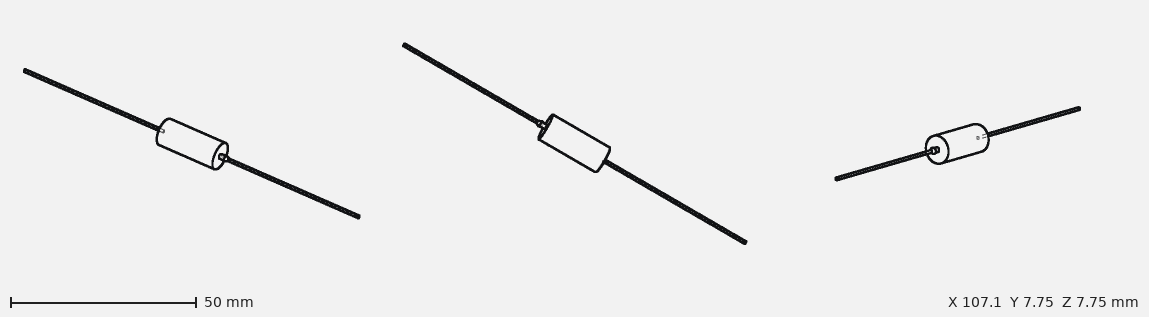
import cadquery as cq

overall_length = 107.11
lead_diameter = 0.8

can_diameter = 7.75
can_left = -8.95
can_right = 9.12
can_rim_radius = 0.4

neck_diameter = 1.4
neck_length = 1.05
crest_diameter = 1.75
flare_length = 0.65
cone_length = 1.0

lead_end = overall_length / 2
lead_radius = lead_diameter / 2
can_radius = can_diameter / 2
neck_radius = neck_diameter / 2
crest_radius = crest_diameter / 2
neck_end = can_right + neck_length
crest = neck_end + flare_length
cone_end = crest + cone_length


def half_profile():
    """Half section above the axis, from the left lead tip to the right one."""
    return (
        cq.Workplane("XZ")
        .moveTo(-lead_end, 0)
        .lineTo(-lead_end, lead_radius)
        .lineTo(can_left, lead_radius)
        .lineTo(can_left, can_radius - can_rim_radius)
        .tangentArcPoint((can_rim_radius, can_rim_radius))
        .lineTo(can_right, can_radius)
        .lineTo(can_right, neck_radius)
        .lineTo(neck_end, neck_radius)
        .lineTo(crest, crest_radius)
        .lineTo(cone_end, lead_radius)
        .lineTo(lead_end, lead_radius)
        .lineTo(lead_end, 0)
        .close()
    )


result = half_profile().revolve(360, (0, 0, 0), (1, 0, 0))